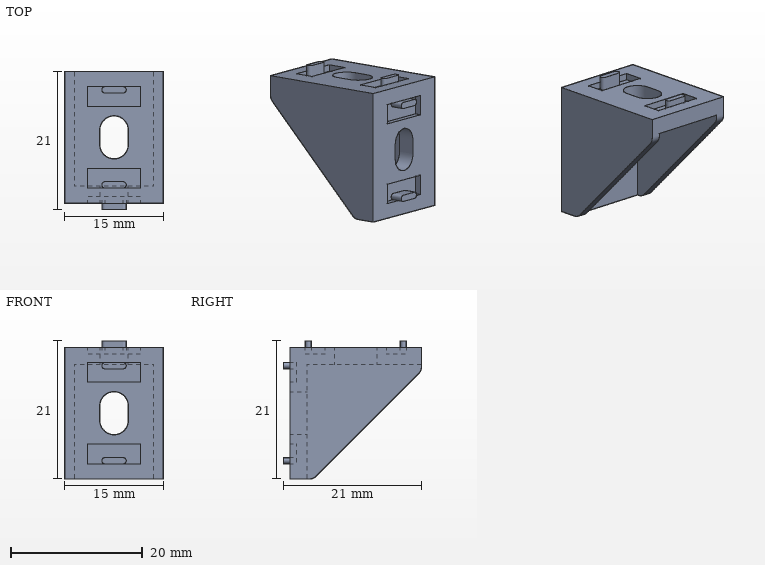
import cadquery as cq

width = 15.0
outer_size = 21.0
peg_height = 0.97
leg = outer_size - peg_height
plate = 2.6
side_wall = 1.5
end_height = 3.57
toe_radius = 1.5

slot_width = 4.3
slot_length = 6.5
pocket_width = 8.0
pocket_length = 3.0
pocket_depth = 1.0
pocket_margin = 2.3
peg_width = 3.72
peg_thickness = 0.97


def make_body():
    """Wedge with its outer corner along the X axis, opened along the slope."""
    wedge = (
        cq.Workplane("YZ")
        .polyline([(0, 0), (leg, 0), (leg, -end_height), (end_height, -leg), (0, -leg)])
        .close()
        .extrude(width / 2, both=True)
    )
    for y, z in ((leg, -end_height), (end_height, -leg)):
        toe_edge = cq.selectors.NearestToPointSelector((0, y, z))
        wedge = wedge.edges(toe_edge).fillet(toe_radius)
    cavity = (
        cq.Workplane("XY")
        .box(width - 2 * side_wall, leg, leg, centered=(True, False, False))
        .translate((0, plate, -plate - leg))
    )
    return wedge.cut(cavity)


def add_plate_features(body, face):
    """Cut the slot and pockets of one plate, and add a peg in each pocket."""
    center = leg / 2
    slot = face.center(0, center).slot2D(slot_length, slot_width, 90).extrude(-plate)
    body = body.cut(slot)
    for end in (-1, 1):
        outer_edge = center + end * (center - pocket_margin)
        pocket = (
            face.center(0, outer_edge - end * pocket_length / 2)
            .rect(pocket_width, pocket_length)
            .extrude(-pocket_depth)
        )
        peg = (
            face.workplane(offset=-pocket_depth)
            .center(0, outer_edge - end * peg_thickness / 2)
            .slot2D(peg_width, peg_thickness)
            .extrude(pocket_depth + peg_height)
        )
        body = body.cut(pocket).union(peg)
    return body


top_face = cq.Plane(origin=(0, 0, 0), xDir=(1, 0, 0), normal=(0, 0, 1))
front_face = cq.Plane(origin=(0, 0, 0), xDir=(-1, 0, 0), normal=(0, -1, 0))

result = make_body()
for plane in (top_face, front_face):
    result = add_plate_features(result, cq.Workplane(plane))